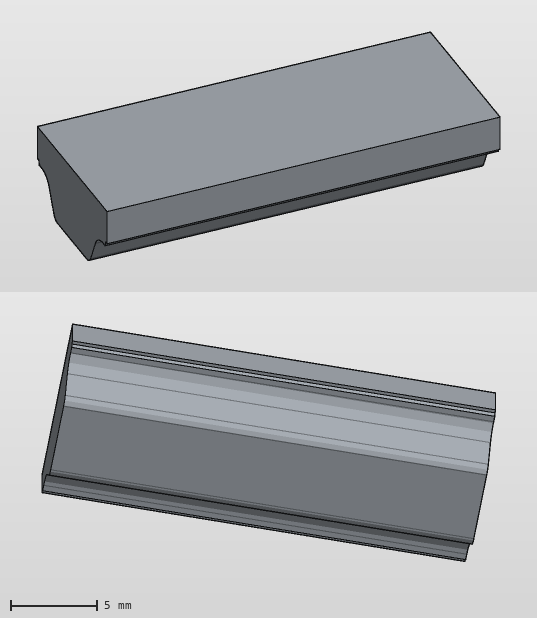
import cadquery as cq

width = 10.0
length = 25.0
height = 5.0

back_thickness = 2.52
tooth_tip_width = 4.95
tooth_root_width = 7.28
tip_radius = 0.6
root_radius = 1.15

rebate_height = 0.3
rebate_top_depth = 0.2
rebate_bottom_depth = 0.28

ledge_z = height - back_thickness


def block(block_width, z_bottom, z_top):
    """Full-length rectangular bar centred on X and Y."""
    return (
        cq.Workplane("XY", origin=(0, 0, z_bottom))
        .rect(block_width, length)
        .extrude(z_top - z_bottom)
    )


def tooth():
    """Full-length trapezoidal bar, narrow end down, with rounded tip edges."""
    half_tip = tooth_tip_width / 2
    half_root = tooth_root_width / 2
    outline = [(-half_tip, 0), (half_tip, 0), (half_root, ledge_z), (-half_root, ledge_z)]
    bar = cq.Workplane("XZ").polyline(outline).close().extrude(length / 2, both=True)
    return bar.faces("<Z").edges("|Y").fillet(tip_radius)


def edge_rebate(side):
    """Cutter for the step along one lower edge of the back; side is -1 or 1."""
    wall = side * width / 2
    outline = [
        (wall, ledge_z),
        (wall, ledge_z + rebate_height),
        (wall - side * rebate_top_depth, ledge_z + rebate_height),
        (wall - side * rebate_bottom_depth, ledge_z),
    ]
    return cq.Workplane("XZ").polyline(outline).close().extrude(length / 2, both=True)


body = block(width, ledge_z, height).union(tooth())

selection_margin = 0.12
root_reach = tooth_root_width / 2 + selection_margin
root_edges = cq.selectors.BoxSelector(
    (-root_reach, -length, ledge_z - selection_margin),
    (root_reach, length, ledge_z + selection_margin),
)
result = body.edges("|Y").edges(root_edges).fillet(root_radius)

for side in (-1, 1):
    result = result.cut(edge_rebate(side))